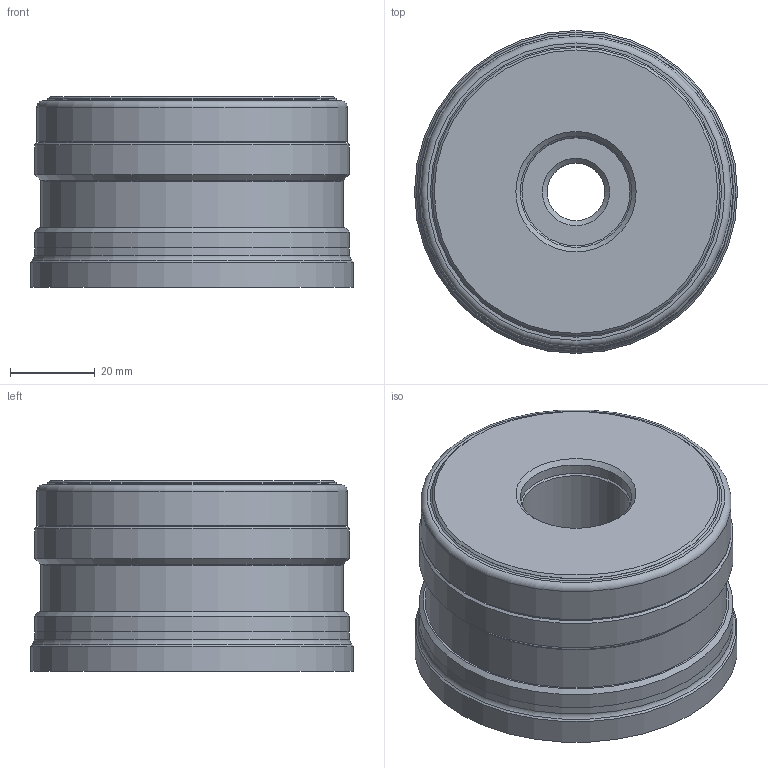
import cadquery as cq
import math

bevel_angle = math.radians(45)

height = 45.0
flange_radius = 38.1

flange_edge_height = 5.95
flange_chamfer = 0.4
flare_radius = 1.8
flare_cone_angle = math.radians(4)
flare_top_height = 9.3

land_radius = 37.1
lower_land_top = 14.05
land_chamfer = 1.0
groove_radius = 35.65
groove_top = 26.6
groove_fillet = 0.5
upper_land_top = 34.1
upper_land_chamfer = 0.5

neck_radius = 34.0
neck_chamfer = 0.55

ring_radius = 36.65
ring_top = 44.05
ring_fillet = 1.55
ring_bottom_chamfer = 0.35
ring_lip = 0.35

mouth_radius = 13.15
mouth_chamfer = 1.05
mouth_depth = 3.5
bore_radius = 12.75
mouth_step_height = 0.4
bore_floor_height = 20.0
hole_radius = 6.8
hole_chamfer = 1.15


def revolve_profile(profile):
    """Turn a closed profile, drawn as radius and height, about the Z axis."""
    return profile.close().revolve(360, (0, 0, 0), (0, 1, 0))


def make_core():
    """Flanged core with a grooved outside, a neck at the top and a stepped bore."""
    flare_foot_radius = flange_radius - flange_chamfer
    flare_foot_height = flange_edge_height + flange_chamfer
    mid_angle = (bevel_angle + flare_cone_angle) / 2
    flare_centre_radius = flare_foot_radius + flare_radius * math.cos(bevel_angle)
    flare_centre_height = flare_foot_height + flare_radius * math.sin(bevel_angle)

    def flare_point(angle):
        return (
            flare_centre_radius - flare_radius * math.cos(angle),
            flare_centre_height - flare_radius * math.sin(angle),
        )

    fillet_centre_radius = groove_radius + groove_fillet
    groove_corner_height = groove_top - (land_radius - groove_radius)
    fillet_start_height = groove_corner_height - groove_fillet * math.tan(bevel_angle / 2)

    def fillet_point(angle):
        return (
            fillet_centre_radius - groove_fillet * math.cos(angle),
            fillet_start_height + groove_fillet * math.sin(angle),
        )

    mouth_floor = height - mouth_depth
    profile = (
        cq.Workplane("XZ")
        .moveTo(hole_radius, 0)
        .lineTo(flange_radius, 0)
        .lineTo(flange_radius, flange_edge_height)
        .lineTo(flare_foot_radius, flare_foot_height)
        .threePointArc(flare_point(mid_angle), flare_point(flare_cone_angle))
        .lineTo(land_radius, flare_top_height)
        .lineTo(land_radius, lower_land_top - land_chamfer)
        .lineTo(land_radius - land_chamfer, lower_land_top)
        .lineTo(groove_radius, lower_land_top)
        .lineTo(groove_radius, fillet_start_height)
        .threePointArc(fillet_point(bevel_angle / 2), fillet_point(bevel_angle))
        .lineTo(land_radius, groove_top)
        .lineTo(land_radius, upper_land_top - upper_land_chamfer)
        .lineTo(land_radius - upper_land_chamfer, upper_land_top)
        .lineTo(neck_radius, upper_land_top)
        .lineTo(neck_radius, height - neck_chamfer)
        .lineTo(neck_radius - neck_chamfer, height)
        .lineTo(mouth_radius + mouth_chamfer, height)
        .lineTo(mouth_radius, height - mouth_chamfer)
        .lineTo(mouth_radius, mouth_floor)
        .lineTo(bore_radius, mouth_floor - mouth_step_height)
        .lineTo(bore_radius, bore_floor_height)
        .lineTo(hole_radius + hole_chamfer, bore_floor_height)
        .lineTo(hole_radius, bore_floor_height - hole_chamfer)
    )
    return revolve_profile(profile)


def make_seal_ring():
    """Ring around the neck, rounded at the top outside and lipped against the neck."""
    fillet_centre_radius = ring_radius - ring_fillet
    fillet_centre_height = ring_top - ring_fillet
    fillet_mid_offset = ring_fillet * math.sin(bevel_angle)
    profile = (
        cq.Workplane("XZ")
        .moveTo(neck_radius, upper_land_top)
        .lineTo(ring_radius - ring_bottom_chamfer, upper_land_top)
        .lineTo(ring_radius, upper_land_top + ring_bottom_chamfer)
        .lineTo(ring_radius, fillet_centre_height)
        .threePointArc(
            (fillet_centre_radius + fillet_mid_offset, fillet_centre_height + fillet_mid_offset),
            (fillet_centre_radius, ring_top),
        )
        .lineTo(neck_radius + ring_lip, ring_top)
        .lineTo(neck_radius, ring_top + ring_lip)
    )
    return revolve_profile(profile)


core = make_core()
seal_ring = make_seal_ring()

result = cq.Compound.makeCompound([core.val(), seal_ring.val()])